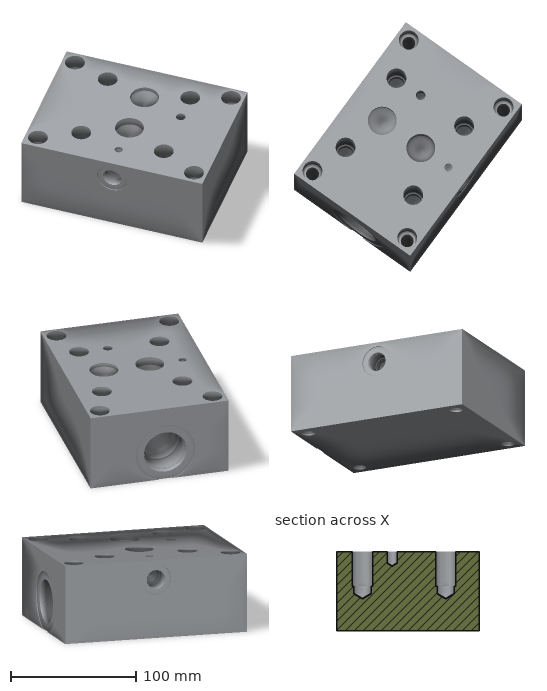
import cadquery as cq
import math

LENGTH = 152.4
WIDTH = 114.3
HEIGHT = 63.5
MID_X = LENGTH / 2

POINT_ANGLE = 118.0

MOUNT_INSET = 10.5
MOUNT_DIAMETER = 10.4
MOUNT_HEAD_DIAMETER = 15.8
MOUNT_HEAD_DEPTH = 12.2

BOLT_SPACING_X = 69.5
BOLT_ROWS_Y = (27.0, 93.5)
BOLT_THREAD_DIAMETER = 15.8
BOLT_THREAD_DEPTH = 27.5
BOLT_DRILL_DIAMETER = 13.4
BOLT_DRILL_DEPTH = 33.5

VALVE_PORT_DIAMETER = 23.0
DRILLED_HOLES = (
    (MID_X, 82.5, VALVE_PORT_DIAMETER, 3.2),
    (MID_X, 44.5, VALVE_PORT_DIAMETER, 6.9),
    (MID_X + BOLT_SPACING_X / 2, 69.8, 7.6, 9.1),
    (MID_X, 17.4, 6.4, 2.1),
)

PRESSURE_Y = 52.3
PRESSURE_Z = 24.0
PRESSURE_SIZES = {
    "spotface_diameter": 49.0,
    "spotface_depth": 0.8,
    "mouth_diameter": 35.4,
    "seat_diameter": 33.8,
    "seat_depth": 3.8,
    "thread_diameter": 33.4,
    "thread_depth": 19.5,
    "bore_diameter": 31.2,
    "bore_depth": 27.5,
    "drill_diameter": 25.5,
    "drill_depth": 36.5,
}

PILOT_Z = 47.5
PILOT_SIZES = {
    "spotface_diameter": 25.0,
    "spotface_depth": 0.8,
    "mouth_diameter": 15.4,
    "seat_diameter": 14.5,
    "seat_depth": 2.7,
    "thread_diameter": 14.3,
    "thread_depth": 13.0,
    "bore_diameter": 13.0,
    "bore_depth": 15.2,
    "drill_diameter": 12.3,
    "drill_depth": 18.3,
}


def point_length(diameter_change):
    """Axial length of a drill-point cone over a change of diameter."""
    return diameter_change / 2 / math.tan(math.radians(POINT_ANGLE / 2))


def revolved_cutter(profile):
    """Solid of (radius, depth) points turned about Z, reaching down from z = 0."""
    points = [(radius, -depth) for radius, depth in profile]
    return cq.Workplane("XZ").polyline([(0, 0)] + points).close().revolve(360, (0, 0), (0, 1))


def drill_cutter(diameter, depth):
    """Straight drilled hole with a conical point below its wall."""
    radius = diameter / 2
    return revolved_cutter([(radius, 0), (radius, depth), (0, depth + point_length(diameter))])


def port_cutter(
    spotface_diameter, spotface_depth, mouth_diameter, seat_diameter, seat_depth,
    thread_diameter, thread_depth, bore_diameter, bore_depth, drill_diameter, drill_depth,
):
    """Spotfaced port: tapered seal seat, thread, drill-pointed bore and inner drill."""
    shoulder_depth = bore_depth + point_length(bore_diameter - drill_diameter)
    return revolved_cutter([
        (spotface_diameter / 2, 0),
        (spotface_diameter / 2, spotface_depth),
        (mouth_diameter / 2, spotface_depth),
        (seat_diameter / 2, seat_depth),
        (thread_diameter / 2, seat_depth),
        (thread_diameter / 2, thread_depth),
        (bore_diameter / 2, thread_depth),
        (bore_diameter / 2, bore_depth),
        (drill_diameter / 2, shoulder_depth),
        (drill_diameter / 2, drill_depth),
        (0, drill_depth + point_length(drill_diameter)),
    ])


block = cq.Workplane("XY").box(LENGTH, WIDTH, HEIGHT, centered=False)

mount_points = [
    (x, y)
    for x in (MOUNT_INSET, LENGTH - MOUNT_INSET)
    for y in (MOUNT_INSET, WIDTH - MOUNT_INSET)
]
block = (
    block.faces(">Z").workplane(origin=(0, 0, HEIGHT))
    .pushPoints(mount_points)
    .cboreHole(MOUNT_DIAMETER, MOUNT_HEAD_DIAMETER, MOUNT_HEAD_DEPTH)
)

bolt_cutter = drill_cutter(BOLT_DRILL_DIAMETER, BOLT_DRILL_DEPTH).union(
    cq.Workplane("XY").circle(BOLT_THREAD_DIAMETER / 2).extrude(-BOLT_THREAD_DEPTH)
)
for bolt_x in (MID_X - BOLT_SPACING_X / 2, MID_X + BOLT_SPACING_X / 2):
    for bolt_y in BOLT_ROWS_Y:
        block = block.cut(bolt_cutter.translate((bolt_x, bolt_y, HEIGHT)))

for hole_x, hole_y, hole_diameter, hole_depth in DRILLED_HOLES:
    block = block.cut(drill_cutter(hole_diameter, hole_depth).translate((hole_x, hole_y, HEIGHT)))

pressure_cutter = port_cutter(**PRESSURE_SIZES).rotate((0, 0, 0), (0, 1, 0), -90)
block = block.cut(pressure_cutter.translate((0, PRESSURE_Y, PRESSURE_Z)))

pilot_cutter = port_cutter(**PILOT_SIZES).rotate((0, 0, 0), (1, 0, 0), 90)
block = block.cut(pilot_cutter.translate((MID_X, 0, PILOT_Z)))

result = block